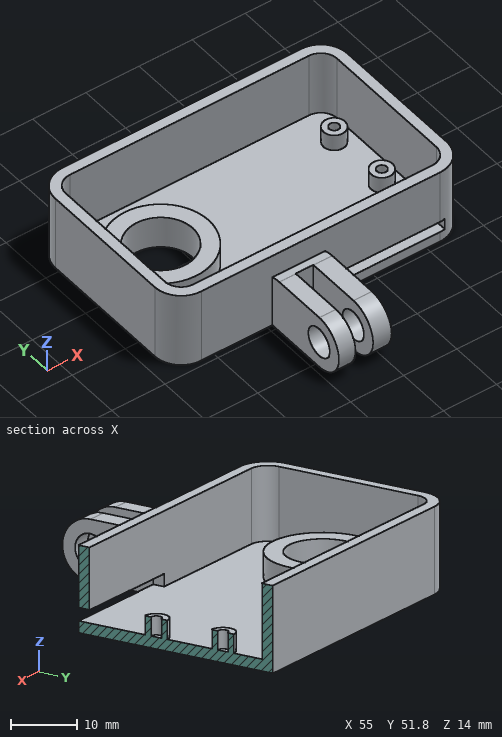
import cadquery as cq
import math

HOUSING_LENGTH = 55.0
HOUSING_WIDTH = 35.0
HOUSING_HEIGHT = 14.0
WALL = 2.0
FLOOR = WALL
OUTER_CORNER_RADIUS = 5.0
INNER_CORNER_RADIUS = OUTER_CORNER_RADIUS - WALL

OPENING_DIAMETER = 12.0
COLLAR_DIAMETER = 18.0
COLLAR_HEIGHT = 4.0
OPENING_X = 12.0
OPENING_Y = HOUSING_WIDTH - 15.5

POST_DIAMETER = 4.0
POST_HOLE_DIAMETER = 1.8
POST_HEIGHT = 3.0
POST_X = 49.5
POST_SPACING = 12.0
BACK_POST_Y = HOUSING_WIDTH - 9.0
POST_COUNT = 2

SLOT_START_X = 29.0
SLOT_LENGTH = 22.0
SLOT_HEIGHT = 2.05
SLOT_DEPTH = 3.0

MOUNT_START_X = 18.4
MOUNT_REACH = 16.8
MOUNT_HEIGHT = 10.0
MOUNT_RADIUS = MOUNT_HEIGHT / 2
LEFT_PRONG_WIDTH = 3.15
PRONG_GAP = 3.3
RIGHT_PRONG_WIDTH = 3.5
MOUNT_WIDTH = LEFT_PRONG_WIDTH + PRONG_GAP + RIGHT_PRONG_WIDTH
BRIDGE_DEPTH = 1.7
HINGE_HOLE_DIAMETER = 5.4


def make_block(start_x, start_y, start_z, length, width, height):
    """Box given by its lowest corner and its size."""
    return cq.Workplane("XY").box(length, width, height, centered=False).translate((start_x, start_y, start_z))


def make_cylinder(x, y, start_z, diameter, height):
    """Upright cylinder given by the centre of its base."""
    return cq.Workplane("XY").circle(diameter / 2).extrude(height).translate((x, y, start_z))


def make_housing():
    """Tray with a collared opening, screw posts and a front slot."""
    housing = make_block(0, 0, 0, HOUSING_LENGTH, HOUSING_WIDTH, HOUSING_HEIGHT)
    housing = housing.edges("|Z").fillet(OUTER_CORNER_RADIUS)

    cavity_length = HOUSING_LENGTH - 2 * WALL
    cavity_width = HOUSING_WIDTH - 2 * WALL
    cavity = make_block(WALL, WALL, FLOOR, cavity_length, cavity_width, HOUSING_HEIGHT - FLOOR)
    housing = housing.cut(cavity.edges("|Z").fillet(INNER_CORNER_RADIUS))

    housing = housing.union(make_cylinder(OPENING_X, OPENING_Y, FLOOR, COLLAR_DIAMETER, COLLAR_HEIGHT))
    housing = housing.cut(make_cylinder(OPENING_X, OPENING_Y, 0, OPENING_DIAMETER, FLOOR + COLLAR_HEIGHT))

    for index in range(POST_COUNT):
        post_y = BACK_POST_Y - index * POST_SPACING
        post = make_cylinder(POST_X, post_y, FLOOR, POST_DIAMETER, POST_HEIGHT)
        post_hole = make_cylinder(POST_X, post_y, FLOOR, POST_HOLE_DIAMETER, POST_HEIGHT)
        housing = housing.union(post.cut(post_hole))

    return housing.cut(make_block(SLOT_START_X, 0, FLOOR, SLOT_LENGTH, SLOT_DEPTH, SLOT_HEIGHT))


def make_mount():
    """Hinge lug: two round-ended prongs joined by a bridge against the front wall."""
    hinge_y = MOUNT_RADIUS - MOUNT_REACH

    wall_top_z = MOUNT_RADIUS + math.sqrt(MOUNT_RADIUS**2 - BRIDGE_DEPTH**2)
    half_angle = math.asin(BRIDGE_DEPTH / MOUNT_RADIUS) / 2
    arc_middle_y = MOUNT_RADIUS * math.sin(half_angle) - BRIDGE_DEPTH
    arc_middle_z = MOUNT_RADIUS * (1 + math.cos(half_angle))

    mount = (
        cq.Workplane("YZ", origin=(MOUNT_START_X, 0, 0))
        .moveTo(0, 0)
        .lineTo(hinge_y, 0)
        .threePointArc((-MOUNT_REACH, MOUNT_RADIUS), (hinge_y, MOUNT_HEIGHT))
        .lineTo(-BRIDGE_DEPTH, MOUNT_HEIGHT)
        .threePointArc((arc_middle_y, arc_middle_z), (0, wall_top_z))
        .close()
        .extrude(MOUNT_WIDTH)
    )

    gap_start_x = MOUNT_START_X + LEFT_PRONG_WIDTH
    gap_length = MOUNT_REACH - BRIDGE_DEPTH
    mount = mount.cut(make_block(gap_start_x, -MOUNT_REACH, 0, PRONG_GAP, gap_length, MOUNT_HEIGHT))

    hinge_hole = (
        cq.Workplane("YZ", origin=(MOUNT_START_X, hinge_y, MOUNT_RADIUS))
        .circle(HINGE_HOLE_DIAMETER / 2)
        .extrude(MOUNT_WIDTH)
    )
    return mount.cut(hinge_hole)


housing = make_housing()
mount = make_mount()
result = cq.Compound.makeCompound([housing.val(), mount.val()])